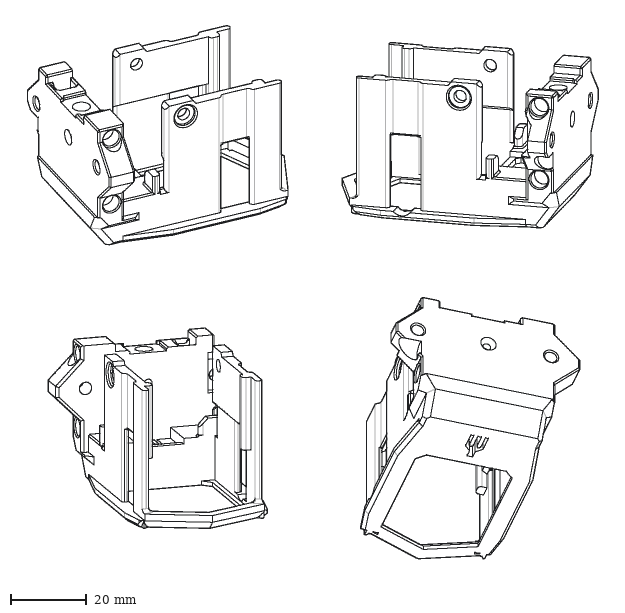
import cadquery as cq
import math


plate_front = 0.65
plate_back = 8.3
plate_half = 18.5
plate_top = 37.5
plate_bottom = 10.8
wing_half = 50.85 / 2
wing_mid_z = 25.35
wing_tip = 3.1
step_z = 35.2
step_left = -13.3
step_right = 9.05
channel_z = 34.2
channel_half = 5.1
channel_mouth_half = 4.6
edge_chamfer = 0.45
back_chamfer = 0.7
side_hole_y = 4.5
magnet_diameter = 4.7
magnet_rim_diameter = 5.4
magnet_depth = 4.0
magnet_heights = (14.2, channel_z)
screw_z = 25.85

foot_break_z = 6.1
foot_bottom_y = 4.4
foot_break_half = 14.85
foot_top_half = 17.5
bevel_slope = 0.73
shoulder_top = 8.35
shoulder_low = 7.8
shoulder_back = 13.4

wall_x = 16.6
inner_x = 13.4
block_top = 13.2
block_back = 19.8
tower_top = 18.2
tower_front = 17.6
tower_inner = 10.45
tower_flat_inner = 12.9
tower_edge_radius = 0.95
sill_bevel = 0.9
tray_z = 10.2

arm_front = 21.2
arm_top = plate_top
arm_back = 55.4
boss_top = 38.6
boss_back = 30.05
boss_back_run = 0.8
boss_slope = boss_top - arm_top
arm_edge_radius = 1.0
recess_x = 15.4
recess_start = 36.8
recess_end = 47.2
recess_ramp = 1.7
window_start = 37.65
window_end = 46.2
window_top = 22.3
pad_start = 48.05
pad_end = 51.2
pad_inner = 12.4
pad_bottom = 17.6
pad_radius = 0.95
relief_x = 14.75
relief_top = 23.15
relief_edge_radius = 0.75

ring_top = 2.35
lip_top = 1.15
ring_bevel = 1.0
ring_half = 19.2
ring_front = 8.75
ring_taper_front = 22.2
ring_taper_back = 47.7
ring_back = 56.55
chevron_top = 4.2
chevron_half = wall_x
chevron_apex = 63.8
chevron_band_apex = 60.4
chevron_inner_apex = 57.2
chevron_slope = 6.75 / chevron_half

margin = 0.05


def box(x, y, z):
    """Box between pairs of limits along X, Y and Z."""
    size = (x[1] - x[0], y[1] - y[0], z[1] - z[0])
    return cq.Workplane("XY").box(*size, centered=False).translate((x[0], y[0], z[0]))


def plan(points, z_low, z_high):
    """Prism over a closed XY outline."""
    return cq.Workplane("XY").workplane(offset=z_low).polyline(points).close().extrude(z_high - z_low)


def front_prism(points, y_start, y_end):
    """Prism over a closed XZ outline, running from y_start to y_end."""
    plane = cq.Workplane("XZ", origin=(0, y_start, 0))
    return plane.polyline(points).close().extrude(y_start - y_end)


def side_prism(points, x_start, x_end):
    """Prism over a closed YZ outline."""
    plane = cq.Workplane("YZ", origin=(x_start, 0, 0))
    return plane.polyline(points).close().extrude(x_end - x_start)


def inside(x, y, z):
    """Selector for edges whose centre lies between pairs of limits, with a small margin."""
    low, high = zip(x, y, z)
    return cq.selectors.BoxSelector([v - margin for v in low], [v + margin for v in high])


def x_cylinder(diameter, x_start, x_end, y, z):
    plane = cq.Workplane("YZ", origin=(x_start, y, z))
    return plane.circle(diameter / 2).extrude(x_end - x_start)


def y_cylinder(diameter, x, z, y_start, y_end):
    plane = cq.Workplane("XZ", origin=(x, y_start, z))
    return plane.circle(diameter / 2).extrude(y_start - y_end)


def cone(wide, narrow, depth, mouth, direction):
    """Countersink cutter that narrows along a direction from its mouth."""
    solid = cq.Solid.makeCone(wide / 2, narrow / 2, depth, cq.Vector(*mouth), cq.Vector(*direction))
    return cq.Workplane(solid)


def both_sides(half):
    return half.union(half.mirror("YZ"))


def make_plate():
    rise = wing_half - plate_half
    tip_low = wing_mid_z - wing_tip / 2
    tip_high = wing_mid_z + wing_tip / 2
    right_side = [
        (plate_half, plate_bottom),
        (plate_half, tip_low - rise),
        (wing_half, tip_low),
        (wing_half, tip_high),
        (plate_half, tip_high + rise),
        (plate_half, plate_top),
    ]
    left_side = [(-x, z) for x, z in reversed(right_side)]
    steps = [
        (step_right, plate_top),
        (step_right, step_z),
        (step_left, step_z),
        (step_left, plate_top),
    ]
    plate = front_prism(right_side + steps + left_side, plate_front, plate_back)
    plate = plate.edges("|Y and >Z").chamfer(edge_chamfer)
    plate = plate.faces("<Y").edges("not(<Z)").chamfer(edge_chamfer)
    below_corner = plate_top - edge_chamfer - margin
    right_flank = inside((plate_half, wing_half), (plate_back, plate_back), (0, below_corner))
    left_flank = inside((-wing_half, -plate_half), (plate_back, plate_back), (0, below_corner))
    flanks = right_flank + left_flank
    return plate.faces(">Y").edges(flanks).chamfer(back_chamfer)


def cut_channel(plate):
    """Shallow crosswise channel in the top edge, narrower at its front mouth."""
    mouth_y = 1.4
    narrowing = channel_half - channel_mouth_half
    half_outline = [
        (channel_mouth_half, 0),
        (channel_mouth_half, mouth_y),
        (channel_half, mouth_y + narrowing),
        (channel_half, plate_back),
    ]
    outline = half_outline + [(-x, y) for x, y in reversed(half_outline)]
    plate = plate.cut(plan(outline, channel_z, plate_top))
    bevel = [
        (-channel_half, step_z - edge_chamfer),
        (channel_half, step_z - edge_chamfer),
        (channel_half + edge_chamfer, step_z),
        (-channel_half - edge_chamfer, step_z),
    ]
    return plate.cut(front_prism(bevel, mouth_y + narrowing, plate_back))


def cut_top_pocket(plate):
    """Bevelled pocket in the lowered edge, against the left block."""
    pocket_right = -8.5
    pocket_front = 1.45
    pocket_back = 8.15
    pocket_depth = 4.0
    bevel = 1.0
    corner = 0.95
    outline = [
        (step_left, pocket_front),
        (pocket_right - corner, pocket_front),
        (pocket_right, pocket_front + corner),
        (pocket_right, pocket_back - corner),
        (pocket_right - corner, pocket_back),
        (step_left, pocket_back),
    ]
    slopes = cq.Workplane("XY").workplane(offset=step_z).polyline(outline).close()
    slopes = slopes.extrude(-bevel, taper=45)
    shaft = box(
        (step_left, pocket_right - bevel),
        (pocket_front + bevel, pocket_back - bevel / 2),
        (step_z - pocket_depth, step_z),
    )
    return plate.cut(slopes.union(shaft))


def cut_left_wing(plate):
    """Rear pocket with a 45-degree ceiling, and underside groove of the left wing."""
    floor_z = 21.75
    floor_edge = -23.1
    corner = 0.8
    front_y = 5.7
    ceiling_z = 30.2
    pocket = [
        (front_y, floor_z),
        (plate_back, floor_z),
        (plate_back, ceiling_z + plate_back - front_y),
        (front_y, ceiling_z),
    ]
    plate = plate.cut(side_prism(pocket, -wing_half, -wall_x))
    trim = [
        (-wing_half, front_y),
        (floor_edge, front_y),
        (floor_edge, plate_back - corner),
        (floor_edge + corner, plate_back),
        (-wing_half, plate_back),
    ]
    plate = plate.cut(plan(trim, plate_bottom, floor_z))
    groove_diameter = 5.1
    groove_y = 2.25
    groove_z = 20.0
    return plate.cut(x_cylinder(groove_diameter, -wing_half, -plate_half, groove_y, groove_z))


def cut_plate_holes(plate):
    rim = 0.4
    screw_head = 4.2
    screw_hole = 2.1
    cone_depth = 1.4
    wing_hole = 3.4
    for x in (-19.45, 17.35):
        plate = plate.cut(y_cylinder(wing_hole, x, screw_z, 0, plate_back))
        plate = plate.cut(cone(screw_head, wing_hole, rim, (x, plate_front, screw_z), (0, 1, 0)))
    plate = plate.cut(y_cylinder(screw_hole, 0, screw_z, 0, plate_back))
    plate = plate.cut(cone(screw_head, screw_hole, cone_depth, (0, plate_front, screw_z), (0, 1, 0)))

    top_hole = cq.Workplane("XY", origin=(0, side_hole_y, channel_z)).circle(magnet_diameter / 2)
    plate = plate.cut(top_hole.extrude(-magnet_depth))
    for z in magnet_heights:
        hole = x_cylinder(magnet_diameter, plate_half - magnet_depth, wing_half, side_hole_y, z)
        mouth = x_cylinder(magnet_rim_diameter, plate_half, wing_half, side_hole_y, z)
        sink = cone(magnet_rim_diameter, magnet_diameter, rim, (plate_half, side_hole_y, z), (-1, 0, 0))
        plate = plate.cut(both_sides(hole.union(mouth).union(sink)))
    return plate


def make_foot():
    """Sloping foot with side shoulders and bevelled front corners."""
    profile = [
        (0, plate_bottom),
        (0, foot_break_z),
        (foot_bottom_y, 0),
        (shoulder_back, 0),
        (shoulder_back, shoulder_top),
        (plate_back, shoulder_top),
        (plate_back, plate_bottom),
    ]
    foot = side_prism(profile, -plate_half, plate_half)
    back_corners = inside(
        (-plate_half, plate_half), (plate_back, plate_back), (shoulder_top + 0.65, plate_bottom - 0.65)
    )
    foot = foot.edges("|Z").edges(back_corners).chamfer(back_chamfer)
    silhouette = [
        (wall_x - ring_bevel, 0),
        (wall_x, ring_bevel),
        (wall_x, foot_break_z),
        (plate_half, shoulder_low),
        (plate_half, plate_bottom),
    ]
    silhouette += [(-x, z) for x, z in reversed(silhouette)]
    foot = foot.intersect(front_prism(silhouette, 0, shoulder_back))
    shoulder_width = plate_half - wall_x
    tail = [
        (wall_x, shoulder_back),
        (plate_half, shoulder_back - shoulder_width),
        (plate_half, shoulder_back),
    ]
    foot = foot.cut(both_sides(plan(tail, 0, plate_bottom)))

    reach = 6.4
    section = [
        (foot_break_half, 0, foot_break_z),
        (foot_break_half + bevel_slope * reach, reach, foot_break_z),
        (foot_break_half + bevel_slope * reach, 0, foot_break_z),
    ]
    wire = cq.Wire.makePolygon([cq.Vector(*p) for p in section], close=True)
    down = cq.Vector(0, foot_bottom_y, -foot_break_z)
    up = cq.Vector(foot_top_half - foot_break_half, 0, plate_bottom - foot_break_z)
    for direction in (down, up):
        corner = cq.Workplane(cq.Solid.extrudeLinear(wire, [], direction))
        foot = foot.cut(both_sides(corner))
    return foot


def make_block():
    """Solid block behind the plate, with towers and a stepped tray."""
    block = box((-wall_x, wall_x), (plate_back, block_back), (0, block_top))
    block = block.edges("|Y and >Z").chamfer(edge_chamfer)
    block = block.edges("|Y and <Z").chamfer(ring_bevel)

    gusset_leg = 2.35
    gusset = [
        (inner_x, block_back),
        (inner_x - gusset_leg, block_back),
        (inner_x, block_back + gusset_leg),
    ]
    tower = box((tower_inner, wall_x), (tower_front, block_back), (0, tower_top))
    tower_radius = (block_back - tower_front) / 2 - 0.05
    tower = tower.edges("|Z and <X").fillet(tower_radius)
    tower_slope = tower_flat_inner - tower_inner
    slope = [(tower_inner, tower_top), (tower_inner, tower_top - tower_slope), (tower_flat_inner, tower_top)]
    tower = tower.cut(front_prism(slope, tower_front, block_back))
    tower = tower.edges("|Z and >X and >Y").fillet(tower_edge_radius)
    tower = tower.edges("|Z and >X and <Y").chamfer(edge_chamfer)
    flare = 0.45
    base = box(
        (tower_inner - flare, wall_x + flare),
        (tower_front - flare, block_back + flare),
        (block_top - flare, block_top + flare),
    )
    base = base.edges("|Z and <X and <Y").fillet(tower_radius + flare).faces(">Z").chamfer(flare)
    limits = (tower_inner - flare, wall_x - edge_chamfer), (0, block_back), (0, tower_top)
    tower = tower.union(base.intersect(box(*limits)))
    block = block.union(both_sides(tower.union(plan(gusset, 0, lip_top))))

    tray_left = -6.2
    tray_right = 7.3
    ledge_z = 11.7
    ledge_y = 18.0
    corner = 1.2
    block = block.cut(box((tray_left, tray_right), (plate_back, block_back), (ledge_z, block_top)))
    tray = [
        (tray_left, plate_back),
        (tray_right, plate_back),
        (tray_right, ledge_y - corner),
        (tray_right - corner, ledge_y),
        (tray_left, ledge_y),
    ]
    return block.cut(plan(tray, tray_z, ledge_z))


def make_sill():
    """Bridge between block and arm, with its outer top edge bevelled."""
    sill = box((relief_x, wall_x), (block_back, arm_front + arm_edge_radius), (0, block_top))
    return sill.edges("|Y and >X and >Z").chamfer(sill_bevel)


def make_arm():
    """Right-hand arm with boss, recess, window and inner pad."""
    profile = [
        (arm_front, 0),
        (arm_front, boss_top - boss_slope),
        (arm_front + boss_slope, boss_top),
        (boss_back - boss_back_run, boss_top),
        (boss_back, arm_top),
        (arm_back, arm_top),
        (arm_back, 0),
    ]
    arm = side_prism(profile, inner_x, wall_x)
    arm = arm.edges("|Z and <Y").fillet(arm_edge_radius)
    arm = arm.cut(box((inner_x, relief_x), (pad_end, arm_back), (0, arm_top)))
    arm = arm.edges("|Z and >Y").fillet((wall_x - relief_x) / 2 - 0.03)

    relief = [
        (inner_x, 0),
        (relief_x, 0),
        (relief_x, window_top),
        (inner_x, relief_top),
    ]
    arm = arm.cut(front_prism(relief, arm_front, pad_end))
    low_edge = inside((relief_x, relief_x), (arm_front, arm_front), (0, window_top))
    arm = arm.edges(low_edge).fillet(relief_edge_radius)

    pad = box((pad_inner, relief_x), (pad_start, pad_end), (pad_bottom, arm_top))
    arm = arm.union(pad.edges("|Z and <X").fillet(pad_radius))

    along = [(0, 1), (0, 1)]
    recess = (
        cq.Workplane("XY")
        .moveTo(wall_x, recess_start)
        .spline([(recess_x, recess_start + recess_ramp)], tangents=along, includeCurrent=True)
        .lineTo(recess_x, recess_end - recess_ramp)
        .spline([(wall_x, recess_end)], tangents=along, includeCurrent=True)
        .close()
        .extrude(arm_top)
    )
    arm = arm.cut(recess)
    window = box((inner_x, wall_x), (window_start, window_end), (0, window_top))
    arm = arm.cut(window)
    window_edges = inside((relief_x, relief_x), (window_start, window_end), (0, window_top))
    arm = arm.edges("|Z").edges(window_edges).fillet(relief_edge_radius)
    lintel = [
        (recess_x, window_top),
        (recess_x - edge_chamfer, window_top),
        (recess_x, window_top + edge_chamfer),
    ]
    arm = arm.cut(front_prism(lintel, window_start, window_end))

    bolt_y = 27.05
    bolt_z = 34.4
    bolt_diameter = 3.4
    bore_diameter = 6.0
    bore_depth = 1.15
    bore_rim = 0.45
    arm = arm.cut(x_cylinder(bolt_diameter, inner_x, wall_x, bolt_y, bolt_z))
    bore = x_cylinder(bore_diameter, wall_x - bore_depth, wall_x, bolt_y, bolt_z)
    rim = cone(bore_diameter + 2 * bore_rim, bore_diameter, bore_rim, (wall_x, bolt_y, bolt_z), (-1, 0, 0))
    return arm.cut(bore).cut(rim)


def chevron_band(outer_apex, inner_apex, half, height):
    drop = chevron_slope * half
    outline = [
        (0, outer_apex),
        (half, outer_apex - drop),
        (half, inner_apex - drop),
        (0, inner_apex),
        (-half, inner_apex - drop),
        (-half, outer_apex - drop),
    ]
    return plan(outline, 0, height)


def make_ring():
    """Base ring: two tapered rails joined by a raised chevron at the back."""
    lip_back = 54.25
    tail_half = 17.8
    tail_corner = (0.5, 0.8)
    rail_outline = [
        (relief_x, ring_front),
        (wall_x + 0.05, ring_front),
        (ring_half, ring_taper_front),
        (ring_half, ring_taper_back),
        (tail_half, ring_back - tail_corner[1]),
        (tail_half - tail_corner[0], ring_back),
        (wall_x, ring_back),
        (relief_x, lip_back),
    ]
    rail = plan(rail_outline, 0, ring_top)
    outer_edges = inside((wall_x + 0.25, ring_half), (0, ring_back - 0.25), (0, 0))
    rail = rail.faces("<Z").edges(outer_edges).chamfer(ring_bevel)
    rail = rail.union(box((inner_x, relief_x), (ring_front, lip_back), (0, lip_top)))
    tail_bevel = [(ring_back, ring_top), (ring_back, 0), (ring_back - ring_top, 0)]
    rail = rail.cut(side_prism(tail_bevel, wall_x, ring_half))
    chevron = chevron_band(chevron_apex, chevron_band_apex, chevron_half, chevron_top)
    chevron = chevron.union(chevron_band(chevron_apex, chevron_inner_apex, inner_x, lip_top))
    chevron = chevron.faces("<Z").edges(">Y").chamfer(ring_top)
    return both_sides(rail).union(chevron)


def cut_fork_slot(body):
    """Slot through the tray floor, with a fork of two pins standing in it."""
    slot_half = 2.4
    neck_half = 0.75
    shoulder_y = 12.95
    neck_back = 16.8
    slot = [
        (slot_half, plate_back),
        (slot_half, shoulder_y),
        (neck_half, shoulder_y + slot_half - neck_half),
        (neck_half, neck_back),
    ]
    slot += [(-x, y) for x, y in reversed(slot)]
    body = body.cut(plan(slot, 0, tray_z))
    pin_inner = 0.5
    pin_outer = 1.6
    pin_back = 12.75
    pin_chamfer = 0.4
    pin = box((pin_inner, pin_outer), (plate_back, pin_back), (0, tray_z))
    pin = pin.edges("|Z and >Y").chamfer(pin_chamfer)
    return body.union(both_sides(pin))


def make_arm_flare():
    """Concave flare around the rounded rear end of the arm, on top of the chevron."""
    flare = 1.1
    end_radius = (wall_x - relief_x) / 2
    middle_x = wall_x - end_radius
    bend = flare * (1 - math.sqrt(0.5))
    profile = (
        cq.Workplane("XZ", origin=(middle_x, arm_back - end_radius, chevron_top))
        .lineTo(end_radius + flare, 0)
        .threePointArc((end_radius + bend, bend), (end_radius, flare))
        .lineTo(0, flare)
        .close()
    )
    ring = profile.revolve(360, (0, 0, 0), (0, 1, 0))
    return ring.intersect(box((inner_x, wall_x), (arm_back - end_radius, chevron_apex), (0, arm_top)))


def cut_ring_groove(body):
    """Shallow round groove across the left rail, opposite the window."""
    groove_diameter = 6.05
    groove_y = 42.0
    groove_z = 4.35
    return body.cut(x_cylinder(groove_diameter, -ring_half, -relief_x, groove_y, groove_z))


plate = cut_plate_holes(cut_left_wing(cut_top_pocket(cut_channel(make_plate()))))
arms = both_sides(make_arm().union(make_sill()).union(make_arm_flare()))
result = plate.union(make_foot()).union(make_block()).union(arms).union(make_ring())
result = cut_ring_groove(cut_fork_slot(result))